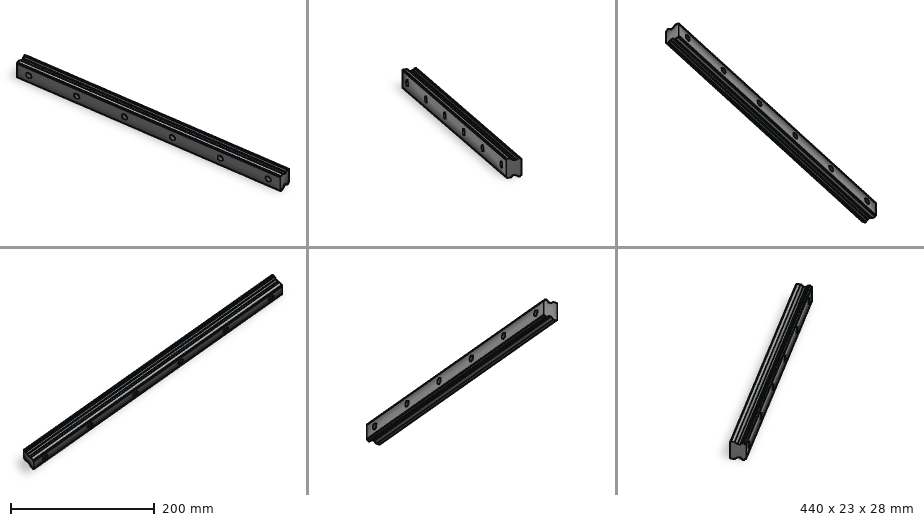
import cadquery as cq
import math

length = 440.0
height = 23.0
width = 28.0

hole_diameter = 9.0
hole_pitch = 80.0
hole_count = 6

base_chamfer = 1.5
base_flank_end = 6.7
waist_start = 10.8
waist_end = 14.6
waist_depth = 3.3
lower_groove_start = 14.9
lower_groove_start_depth = 2.1
lower_groove_end = 17.8
lower_groove_end_depth = 0.4
lower_groove_sag = 0.6
lip_chamfer_run = 0.5
lip_end = 20.3
upper_groove_end = 22.4
upper_groove_end_depth = 2.1
upper_groove_sag = 0.5
head_edge_depth = 2.6


def section_point(distance, depth):
    """Point (y, z) at a distance from the base and a depth in from the +Z flank."""
    return (distance - height / 2, width / 2 - depth)


def groove_middle(start, end, sag):
    """Middle point of a ball groove arc from start to end, sunk into the rail by sag."""
    run = end[0] - start[0]
    rise = end[1] - start[1]
    chord = math.hypot(run, rise)
    middle_y = (start[0] + end[0]) / 2 + sag * rise / chord
    middle_z = (start[1] + end[1]) / 2 - sag * run / chord
    return (middle_y, middle_z)


def upper_half():
    """Bar above the XY plane: base, waist, lower groove, lip, upper groove and head."""
    lower_start = section_point(lower_groove_start, lower_groove_start_depth)
    lower_end = section_point(lower_groove_end, lower_groove_end_depth)
    upper_start = section_point(lip_end, 0)
    upper_end = section_point(upper_groove_end, upper_groove_end_depth)
    base_to_groove = [
        section_point(0, width / 2),
        section_point(0, base_chamfer),
        section_point(base_chamfer, 0),
        section_point(base_flank_end, 0),
        section_point(waist_start, waist_depth),
        section_point(waist_end, waist_depth),
        lower_start,
    ]
    outline = (
        cq.Workplane("YZ")
        .polyline(base_to_groove)
        .threePointArc(groove_middle(lower_start, lower_end, lower_groove_sag), lower_end)
        .lineTo(*section_point(lower_groove_end + lip_chamfer_run, 0))
        .lineTo(*upper_start)
        .threePointArc(groove_middle(upper_start, upper_end, upper_groove_sag), upper_end)
        .lineTo(*section_point(height, head_edge_depth))
        .lineTo(*section_point(height, width / 2))
        .close()
    )
    return outline.extrude(length / 2, both=True)


def rail_body():
    """Full bar, its two flanks mirrored about the XY plane."""
    half = upper_half()
    return half.union(half.mirror("XY")).clean()


def mounting_holes():
    """Row of cylinders along X that cut through the whole height."""
    return (
        cq.Workplane("XZ")
        .rarray(hole_pitch, 1, hole_count, 1)
        .circle(hole_diameter / 2)
        .extrude(height, both=True)
    )


result = rail_body().cut(mounting_holes())